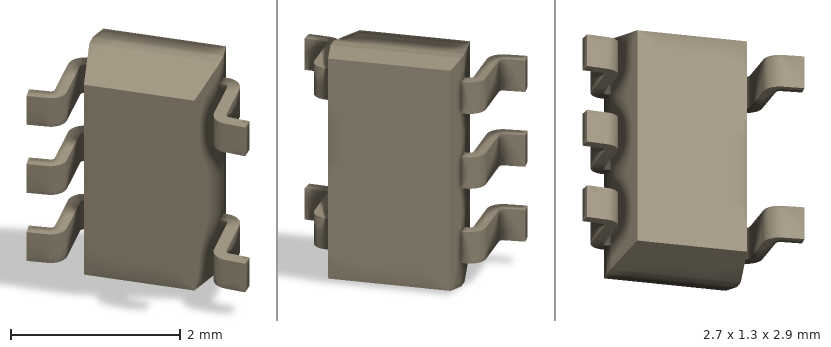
import cadquery as cq
import math

housing_width = 1.6
housing_length = 2.9
back_depth = 0.293
front_depth = 0.705
draft_angle = 10.0

lead_thickness = 0.15
lead_width = 0.4
lead_span = 2.7
lead_post_span = 2.1
inner_bend_radius = 0.05
foot_angle = 5.0
standoff = 0.15
lead_pitch = 0.95

band_depth = lead_thickness
front_face_y = -band_depth / 2 - front_depth
foot_bottom_y = front_face_y - standoff

lead_positions = {
    -1: [-lead_pitch, 0, lead_pitch],
    1: [-lead_pitch, lead_pitch],
}


def make_housing():
    """Band with a drafted block on its back and on its front."""
    band = (
        cq.Workplane("XZ")
        .rect(housing_width, housing_length)
        .extrude(band_depth / 2, both=True)
    )
    front = (
        cq.Workplane("XZ", origin=(0, -band_depth / 2, 0))
        .rect(housing_width, housing_length)
        .extrude(front_depth, taper=draft_angle)
    )
    back = (
        cq.Workplane("XZ", origin=(0, band_depth / 2, 0))
        .rect(housing_width, housing_length)
        .extrude(-back_depth, taper=draft_angle)
    )
    return band.union(front).union(back)


def make_lead():
    """Lead of the +X side at Z = 0, swept along its centre line."""
    slope = math.radians(foot_angle)
    half_thickness = lead_thickness / 2
    bend = inner_bend_radius + half_thickness
    wall_x = housing_width / 2
    post_x = lead_post_span / 2 - half_thickness

    tip_x = lead_span / 2 - half_thickness * math.sin(slope)
    tip_y = foot_bottom_y + half_thickness * math.cos(slope)

    foot_start_x = post_x + bend * (1 - math.sin(slope))
    foot_start_y = tip_y + (tip_x - foot_start_x) * math.tan(slope)
    lower_centre_y = foot_start_y + bend * math.cos(slope)

    path = (
        cq.Workplane("XY")
        .moveTo(wall_x, 0)
        .lineTo(post_x - bend, 0)
        .tangentArcPoint((post_x, -bend), relative=False)
        .lineTo(post_x, lower_centre_y)
        .tangentArcPoint((foot_start_x, foot_start_y), relative=False)
        .lineTo(tip_x, tip_y)
    )
    return (
        cq.Workplane("YZ", origin=(wall_x, 0, 0))
        .rect(lead_thickness, lead_width)
        .sweep(path)
    )


def make_leads():
    """All leads, each a separate solid."""
    right_lead = make_lead()
    lead_on_side = {1: right_lead, -1: right_lead.mirror("YZ")}
    leads = []
    for side, heights in lead_positions.items():
        for z in heights:
            leads.append(lead_on_side[side].translate((0, 0, z)).val())
    return leads


housing = make_housing()
leads = make_leads()

result = cq.Compound.makeCompound([housing.val(), *leads])